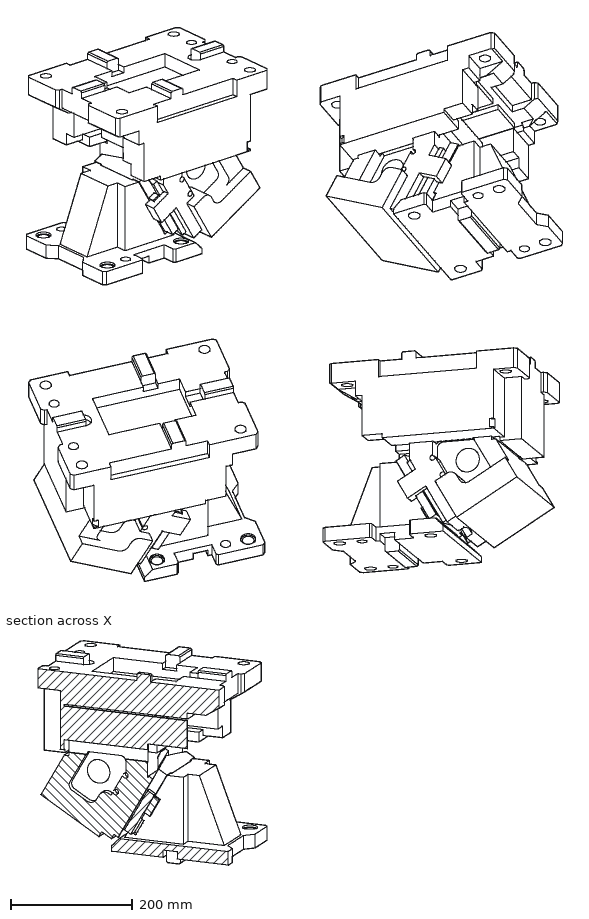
import cadquery as cq
import math


UNIT_HEIGHT = 324.0
UNIT_LENGTH = 342.0
TOP = UNIT_HEIGHT / 2
BOTTOM = -UNIT_HEIGHT / 2
REAR = UNIT_LENGTH / 2
FRONT = -UNIT_LENGTH / 2
KEY_PROUD = 12.3
KEY_WIDTH = 25.3
KEY_CHAMFER = 2.5
CORNER_CHAMFER = 4.8

GUIDE_TILT = math.radians(30)

UNIT_WIDTH = 235.0
PLATE_HALF_WIDTH = UNIT_WIDTH / 2
PLATE_THICKNESS = 34.0
PLATE_TOP = TOP - KEY_PROUD
PLATE_BOTTOM = PLATE_TOP - PLATE_THICKNESS
PLATE_FRONT = -154.5
REAR_NOTCH_Y = 161.5
REAR_NOTCH_HALF_WIDTH = 42.5
FRONT_NOTCH_Y = -144.3
FRONT_NOTCH_HALF_WIDTH = 37.5
NOTCH_CHAMFER = 4.8
POCKET_HALF_WIDTH = 44.5
POCKET_FRONT = -68.7
POCKET_REAR = 82.0
POCKET_DEPTH = 24.0
SIDE_RECESS_X = 107.7
SIDE_RECESS_FRONT = -68.7
SIDE_RECESS_REAR = 101.5
SIDE_RECESS_DEPTH = 29.5
KEY_LENGTH = 50.0
KEYWAY_DEPTH = 10.3
SIDE_KEY_Y = -18.8
BOLT_HOLE_RADIUS = 9.2
BOLT_HOLE_X = 98.0
BOLT_HOLE_FRONT_Y = -129.0
BOLT_HOLE_REAR_Y = 146.0
DOWEL_HOLE_RADIUS = 8.2
DOWEL_HOLE_X = 52.3

LEG_BOTTOM = 15.0
LEG_REAR = 131.3
LEG_TOE_BOTTOM = 22.0
LEG_TOE_BACK = -62.2
LEG_TOE_FRONT = -97.5
LEG_BROW_BOTTOM = 90.5
LEG_BROW_FRONT = -108.8
LEG_CHAMFER = 7.5
LEG_CHAMFER_BOTTOM = 17.8
LEG_CHAMFER_TOP = 32.0
CHANNEL_REAR = 123.8
CHANNEL_HALF_WIDTH = 63.3
CHANNEL_MOUTH_HALF_WIDTH = 65.3
CHANNEL_CEILING = 103.0
CEILING_HALF_WIDTH = 77.5
TOE_NOTCH_HALF_WIDTH = 83.0
TOE_NOTCH_TOP = 42.0
WEAR_PAD_INNER = 9.2
WEAR_PAD_OUTER = 67.5
WEAR_PAD_BOTTOM = 93.0
REAR_BLOCK_HALF_WIDTH = 60.5
REAR_BLOCK_BOTTOM = 9.2
WEDGE_TIP_Y = -151.0
WEDGE_TOE_Y = -119.0
WEDGE_BOTTOM = 95.8
ARCH_CHAMFER = 7.0

SLIDE_HALF_WIDTH = 81.7
SLIDE_TOP = 12.0
SLIDE_FRONT = -26.5
SLIDE_BACK_STEP_Y = 116.0
SLIDE_BACK_STEP_Z = 6.5
SLIDE_BACK_U = -110.5
SLIDE_FACE_U = 30.5
SLIDE_BOTTOM_V = -130.5
CHEEK_HALF_WIDTH = 100.2
CHEEK_BOTTOM_V = -141.0
CHEEK_FRONT_U = 10.3
CHEEK_LOW_V = -100.2
CHEEK_HIGH_V = -65.5
CHEEK_STEP_U = -25.5
CHEEK_ROUND = 13.0
SIDE_POCKET_BACK_U = -78.5
SIDE_POCKET_HALF_GAP = 54.7
SIDE_POCKET_FRONT_Y = 13.5
SIDE_POCKET_TOP = 16.8
SIDE_POCKET_ROUND = 10.3
ARM_RELIEF_RADIUS = 4.5
NECK_TOP = 83.0
NECK_PAD_HALF_WIDTH = 53.5
NECK_PAD_TOP = 87.5
NECK_PAD_PROUD = 7.0
NOSE_HALF_WIDTH = 60.5
NOSE_BOTTOM = 27.7
NOSE_TOP = 77.5
NOSE_LENGTH = 14.7
LINER_HALF_WIDTH = 67.5
LINER_FACE_U = 39.0
LINER_BOTTOM_V = -121.5
LINER_TOP_V = 3.5
RELIEF_HALF_WIDTH = 21.5
RELIEF_CREST_HALF_WIDTH = 7.0
RELIEF_SHOULDER_U = 18.8
RELIEF_CREST_U = 14.7
RELIEF_TOP_V = 25.5
ARM_BACK_U = -8.2
ARM_FRONT_U = 66.7
ARM_TOP_V = -21.0
ARM_BOTTOM_V = -56.0
ARM_SLOT_HALF_WIDTH = 70.5
ARM_LIP_X = 60.5
PIN_HOLE_RADIUS = 20.2
PIN_HOLE_Y = 66.0
PIN_HOLE_Z = -17.8

BASE_HALF_WIDTH = 103.0
BASE_REAR = 39.0
BASE_THICKNESS = 24.0
BASE_BOTTOM = BOTTOM + KEY_PROUD
BASE_TOP = BASE_BOTTOM + BASE_THICKNESS
BASE_REAR_CHAMFER = 14.0
BASE_NOTCH_DEPTH = 14.5
BASE_NOTCH_HALF_WIDTH = 32.5
SIDE_NOTCH_X = 77.0
SIDE_NOTCH_REAR = -20.5
SIDE_NOTCH_FRONT = -86.0
SIDE_NOTCH_CHAMFER = 3.0
BASE_KEY_FRONT = -79.0
BASE_KEY_TOP = -137.0
BASE_KEY_HALF_LENGTH = 50.5
SCREW_X = 82.5
SCREW_FRONT_Y = -147.0
SCREW_REAR_Y = 11.0
SCREW_HOLE_RADIUS = 9.5
COUNTERBORE_RADIUS = 12.3
COUNTERBORE_DEPTH = 3.5
PEG_HOLE_Y = -108.0
PEG_HOLE_RADIUS = 8.2
POST_HALF_WIDTH = 54.7
POST_TOP = -10.5
POST_FRONT = -86.2
POST_BACK_U = 46.0
RIB_HALF_WIDTH = 35.0
RIB_TOP_FRONT = -106.5
RIB_FOOT_FRONT = -151.0
GUIDE_HALF_WIDTH = 57.5
GUIDE_RIDGE_U = 24.5
GUIDE_EDGE_U = 37.5
GUIDE_FRONT_U = 54.7
GUIDE_TOP_V = 21.0
GUIDE_BOTTOM_V = -103.3
GUIDE_ROOT_HALF_WIDTH = 41.0
GUIDE_ROOT_U = 56.8
WING_BACK_U = 41.0
WING_HALF_WIDTH = 69.5
WING_TOP_V = -19.0
UNDERCUT_X = 48.0
UNDERCUT_TOP_V = -73.2
UNDERCUT_FRONT_U = 60.0


def inclined(u, v):
    """Y and Z of a point given in the inclined frame."""
    return (
        -u * math.cos(GUIDE_TILT) - v * math.sin(GUIDE_TILT),
        -u * math.sin(GUIDE_TILT) + v * math.cos(GUIDE_TILT),
    )


def u_line_y(u, z):
    """Y at height z on the plane of constant u."""
    return (-u - z * math.sin(GUIDE_TILT)) / math.cos(GUIDE_TILT)


def u_line_z(u, y):
    """Z at the given Y on the plane of constant u."""
    return (-u - y * math.cos(GUIDE_TILT)) / math.sin(GUIDE_TILT)


def box(x0, x1, y0, y1, z0, z1):
    return cq.Workplane("XY").box(x1 - x0, y1 - y0, z1 - z0, centered=False).translate((x0, y0, z0))


def middle_slab(half_width):
    """Everything in the unit's envelope that lies within half_width of X = 0."""
    return box(-half_width, half_width, FRONT, REAR, BOTTOM, TOP)


def prism(points, half_width):
    """Side outline in Y and Z, extruded equally to both sides of X = 0."""
    return cq.Workplane("YZ").polyline(points).close().extrude(half_width, both=True)


def plan_prism(points, z0, z1):
    """Plan outline in X and Y, extruded from z0 to z1."""
    return cq.Workplane("XY").polyline(points).close().extrude(z1 - z0).translate((0, 0, z0))


def inclined_box(half_width, u0, u1, v0, v1):
    return prism([inclined(u0, v0), inclined(u1, v0), inclined(u1, v1), inclined(u0, v1)], half_width)


def round_off(solid, corner, radius):
    """Fillet the edge along X that passes through the given Y and Z."""
    y, z = corner
    return solid.edges(cq.selectors.NearestToPointSelector((0, y, z))).fillet(radius)


def side_pair(right_half):
    """The given solid on the +X side together with its mirror image."""
    return right_half.union(right_half.mirror("YZ"))


def hole(x, y, radius, z0, z1):
    return cq.Workplane("XY").center(x, y).circle(radius).extrude(z1 - z0).translate((0, 0, z0))


def guide_prism(profile, v0, v1):
    """Extrude an outline of (x, u) points along the guide."""
    plane = cq.Plane(
        origin=(0, *inclined(0, v0)),
        xDir=(1, 0, 0),
        normal=(0, -math.sin(GUIDE_TILT), math.cos(GUIDE_TILT)),
    )
    outline = [(x, -u) for x, u in profile]
    return cq.Workplane(plane).polyline(outline).close().extrude(v1 - v0)


def v_prism(half_width, far_u, v0, v1):
    """Prism along the guide between its two V faces and the plane u = far_u."""
    slope = (GUIDE_EDGE_U - GUIDE_RIDGE_U) / GUIDE_HALF_WIDTH
    edge_u = GUIDE_RIDGE_U + slope * half_width
    profile = [
        (-half_width, far_u),
        (half_width, far_u),
        (half_width, edge_u),
        (0, GUIDE_RIDGE_U),
        (-half_width, edge_u),
    ]
    return guide_prism(profile, v0, v1)


def end_notch(half_width, edge_y, floor_y, chamfer):
    """Cutter for a notch in an end of the holder plate, chamfered at both corners of its mouth."""
    inward = math.copysign(chamfer, floor_y - edge_y)
    outline = [
        (-half_width - chamfer, edge_y),
        (-half_width, edge_y + inward),
        (-half_width, floor_y),
        (half_width, floor_y),
        (half_width, edge_y + inward),
        (half_width + chamfer, edge_y),
    ]
    return plan_prism(outline, PLATE_BOTTOM, PLATE_TOP)


def make_plate():
    plate = box(-PLATE_HALF_WIDTH, PLATE_HALF_WIDTH, PLATE_FRONT, REAR, PLATE_BOTTOM, PLATE_TOP)
    plate = plate.edges("|Z").chamfer(CORNER_CHAMFER)
    recess = box(
        SIDE_RECESS_X, PLATE_HALF_WIDTH, SIDE_RECESS_FRONT, SIDE_RECESS_REAR,
        PLATE_TOP - SIDE_RECESS_DEPTH, PLATE_TOP,
    )
    bevel_rise = (PLATE_BOTTOM - WEDGE_BOTTOM) / (WEDGE_TOE_Y - WEDGE_TIP_Y) * (WEDGE_TIP_Y - PLATE_FRONT)
    bevel = prism(
        [(WEDGE_TIP_Y, PLATE_BOTTOM), (PLATE_FRONT, PLATE_BOTTOM), (PLATE_FRONT, PLATE_BOTTOM + bevel_rise)],
        PLATE_HALF_WIDTH,
    )
    return plate.cut(side_pair(recess)).cut(bevel)


def end_key(y0, y1):
    key = box(-KEY_WIDTH / 2, KEY_WIDTH / 2, y0, y1, PLATE_TOP - KEYWAY_DEPTH, TOP)
    return key.faces(">Z").edges("|Y").chamfer(KEY_CHAMFER)


def make_keys():
    side_key = box(
        SIDE_RECESS_X - KEY_LENGTH, SIDE_RECESS_X, SIDE_KEY_Y - KEY_WIDTH / 2, SIDE_KEY_Y + KEY_WIDTH / 2,
        PLATE_TOP - KEYWAY_DEPTH, TOP,
    )
    side_key = side_key.faces(">Z").edges("|X").chamfer(KEY_CHAMFER)
    keys = side_pair(side_key)
    keys = keys.union(end_key(REAR_NOTCH_Y - KEY_LENGTH, REAR_NOTCH_Y))
    return keys.union(end_key(FRONT_NOTCH_Y, FRONT_NOTCH_Y + KEY_LENGTH))


def make_keyways():
    floor = PLATE_TOP - KEYWAY_DEPTH
    half = KEY_WIDTH / 2
    across = box(-SIDE_RECESS_X, SIDE_RECESS_X, SIDE_KEY_Y - half, SIDE_KEY_Y + half, floor, PLATE_TOP)
    front = box(-half, half, FRONT_NOTCH_Y, POCKET_FRONT, floor, PLATE_TOP)
    rear_start = REAR_NOTCH_Y - KEY_LENGTH
    rear = box(-half, half, rear_start, REAR_NOTCH_Y, floor, PLATE_TOP)
    rear = rear.union(hole(0, rear_start, half, floor, PLATE_TOP))
    return across.union(front).union(rear)


def make_legs():
    legs = prism(
        [
            (LEG_REAR, PLATE_BOTTOM),
            (LEG_REAR, LEG_BOTTOM),
            (LEG_TOE_BACK, LEG_BOTTOM),
            (LEG_TOE_BACK, LEG_TOE_BOTTOM),
            (LEG_TOE_FRONT, LEG_TOE_BOTTOM),
            (LEG_TOE_FRONT, LEG_BROW_BOTTOM),
            (LEG_BROW_FRONT, LEG_BROW_BOTTOM),
            (LEG_BROW_FRONT, PLATE_BOTTOM),
        ],
        PLATE_HALF_WIDTH,
    )
    rear_corner = plan_prism(
        [
            (PLATE_HALF_WIDTH, LEG_REAR),
            (PLATE_HALF_WIDTH - LEG_CHAMFER, LEG_REAR),
            (PLATE_HALF_WIDTH, LEG_REAR - LEG_CHAMFER),
        ],
        LEG_CHAMFER_BOTTOM,
        LEG_CHAMFER_TOP,
    )
    return legs.cut(side_pair(rear_corner))


def make_channel():
    """Cutter for the stepped channel between the legs and the notches in the legs' toes."""
    spans = [
        (CHANNEL_MOUTH_HALF_WIDTH, LEG_BOTTOM, LEG_CHAMFER_TOP),
        (CHANNEL_HALF_WIDTH, LEG_CHAMFER_TOP, LEG_BROW_BOTTOM),
        (CEILING_HALF_WIDTH, LEG_BROW_BOTTOM, CHANNEL_CEILING),
    ]
    notches = [
        (LEG_TOE_BACK, LEG_TOE_BOTTOM, LEG_CHAMFER_TOP),
        (SLIDE_FRONT, LEG_CHAMFER_TOP, TOE_NOTCH_TOP),
    ]
    notch_half = TOE_NOTCH_HALF_WIDTH
    steps = [box(-half, half, LEG_BROW_FRONT, CHANNEL_REAR, low, high) for half, low, high in spans]
    steps += [box(-notch_half, notch_half, LEG_TOE_FRONT, back, low, high) for back, low, high in notches]
    channel = steps[0]
    for step in steps[1:]:
        channel = channel.union(step)
    pads = side_pair(
        box(WEAR_PAD_INNER, WEAR_PAD_OUTER, LEG_TOE_FRONT, CHANNEL_REAR, WEAR_PAD_BOTTOM, CHANNEL_CEILING)
    )
    return channel.cut(pads)


def make_wedges():
    """Two gussets under the front of the plate, either side of the front notch."""
    wedges = prism(
        [
            (LEG_BROW_FRONT, PLATE_BOTTOM),
            (LEG_BROW_FRONT, WEDGE_BOTTOM),
            (WEDGE_TOE_Y, WEDGE_BOTTOM),
            (WEDGE_TIP_Y, PLATE_BOTTOM),
        ],
        CEILING_HALF_WIDTH,
    )
    arch = box(
        -CEILING_HALF_WIDTH, CEILING_HALF_WIDTH, WEDGE_TIP_Y, LEG_BROW_FRONT, WEDGE_BOTTOM, CHANNEL_CEILING
    )
    arch = arch.faces(">Z").edges("|Y").chamfer(ARCH_CHAMFER)
    gap = box(
        -FRONT_NOTCH_HALF_WIDTH, FRONT_NOTCH_HALF_WIDTH, WEDGE_TIP_Y, LEG_BROW_FRONT, WEDGE_BOTTOM, PLATE_BOTTOM
    )
    return wedges.cut(arch).cut(gap)


def make_holder():
    holder = make_plate().union(make_legs()).cut(make_channel()).union(make_wedges())
    rear_block = box(
        -REAR_BLOCK_HALF_WIDTH, REAR_BLOCK_HALF_WIDTH, CHANNEL_REAR, REAR_NOTCH_Y,
        REAR_BLOCK_BOTTOM, PLATE_BOTTOM,
    )
    holder = holder.union(rear_block)
    holder = holder.cut(end_notch(REAR_NOTCH_HALF_WIDTH, REAR, REAR_NOTCH_Y, NOTCH_CHAMFER))
    holder = holder.cut(end_notch(FRONT_NOTCH_HALF_WIDTH, PLATE_FRONT, FRONT_NOTCH_Y, NOTCH_CHAMFER))
    holder = holder.cut(make_keyways()).union(make_keys())
    pocket = box(
        -POCKET_HALF_WIDTH, POCKET_HALF_WIDTH, POCKET_FRONT, POCKET_REAR,
        PLATE_TOP - POCKET_DEPTH, PLATE_TOP,
    )
    holder = holder.cut(pocket)
    for side in (-1, 1):
        for y in (BOLT_HOLE_FRONT_Y, BOLT_HOLE_REAR_Y):
            holder = holder.cut(hole(side * BOLT_HOLE_X, y, BOLT_HOLE_RADIUS, PLATE_BOTTOM, PLATE_TOP))
        holder = holder.cut(
            hole(side * DOWEL_HOLE_X, BOLT_HOLE_REAR_Y, DOWEL_HOLE_RADIUS, PLATE_BOTTOM, PLATE_TOP)
        )
    return holder


def make_slide_core():
    return prism(
        [
            (SLIDE_FRONT, SLIDE_TOP),
            (SLIDE_BACK_STEP_Y, SLIDE_TOP),
            (SLIDE_BACK_STEP_Y, SLIDE_BACK_STEP_Z),
            (u_line_y(SLIDE_BACK_U, SLIDE_BACK_STEP_Z), SLIDE_BACK_STEP_Z),
            inclined(SLIDE_BACK_U, SLIDE_BOTTOM_V),
            inclined(SLIDE_FACE_U, SLIDE_BOTTOM_V),
            (SLIDE_FRONT, u_line_z(SLIDE_FACE_U, SLIDE_FRONT)),
        ],
        SLIDE_HALF_WIDTH,
    )


def make_cheeks():
    """Wide lower part of the slide, before its top is lowered behind the step."""
    return inclined_box(CHEEK_HALF_WIDTH, SLIDE_BACK_U, CHEEK_FRONT_U, CHEEK_BOTTOM_V, CHEEK_HIGH_V)


def make_cheek_shelves():
    """Cutter that lowers the cheeks beside the back wall of the slide."""
    shelves = inclined_box(
        CHEEK_HALF_WIDTH, SLIDE_BACK_U, SIDE_POCKET_BACK_U + SIDE_POCKET_ROUND, CHEEK_LOW_V, CHEEK_HIGH_V
    )
    return shelves.cut(middle_slab(SLIDE_HALF_WIDTH))


def make_side_pockets():
    """Recesses in the slide's sides, in front of the back wall and down to the stepped cheeks."""
    pocket = prism(
        [
            (SIDE_POCKET_FRONT_Y, SIDE_POCKET_TOP),
            (u_line_y(SIDE_POCKET_BACK_U, SIDE_POCKET_TOP), SIDE_POCKET_TOP),
            inclined(SIDE_POCKET_BACK_U, CHEEK_LOW_V),
            inclined(CHEEK_STEP_U, CHEEK_LOW_V),
            inclined(CHEEK_STEP_U, CHEEK_HIGH_V),
            inclined(ARM_BACK_U, CHEEK_HIGH_V),
            inclined(ARM_BACK_U, ARM_TOP_V),
            (SIDE_POCKET_FRONT_Y, inclined(ARM_BACK_U, ARM_TOP_V)[1]),
        ],
        CHEEK_HALF_WIDTH,
    )
    rounds = [
        ((SIDE_POCKET_FRONT_Y, SIDE_POCKET_TOP), SIDE_POCKET_ROUND),
        (inclined(SIDE_POCKET_BACK_U, CHEEK_LOW_V), SIDE_POCKET_ROUND),
        (inclined(CHEEK_STEP_U, CHEEK_LOW_V), CHEEK_ROUND),
        (inclined(CHEEK_STEP_U, CHEEK_HIGH_V), CHEEK_ROUND),
    ]
    for corner, radius in rounds:
        pocket = round_off(pocket, corner, radius)
    return pocket.cut(middle_slab(SIDE_POCKET_HALF_GAP))


def make_arm_relief(v):
    """Round reliefs beside the pockets, at one pair of back corners of the arms."""
    y, z = inclined(ARM_BACK_U + ARM_RELIEF_RADIUS, v)
    relief = cq.Workplane("YZ").center(y, z).circle(ARM_RELIEF_RADIUS)
    relief = relief.extrude(SLIDE_HALF_WIDTH - SIDE_POCKET_HALF_GAP)
    return side_pair(relief.translate((SIDE_POCKET_HALF_GAP, 0, 0)))


def make_arms():
    """Hooked arms that reach around the guide's wings."""
    arms = inclined_box(SLIDE_HALF_WIDTH, ARM_BACK_U, ARM_FRONT_U, ARM_BOTTOM_V, ARM_TOP_V)
    arms = arms.cut(inclined_box(ARM_SLOT_HALF_WIDTH, SLIDE_FACE_U, GUIDE_FRONT_U, ARM_BOTTOM_V, ARM_TOP_V))
    return arms.cut(inclined_box(ARM_LIP_X, GUIDE_FRONT_U, ARM_FRONT_U, ARM_BOTTOM_V, ARM_TOP_V))


def make_groove_relief():
    """Clearance in the slide over the ridge of the guide."""
    profile = [
        (-RELIEF_HALF_WIDTH, GUIDE_EDGE_U),
        (RELIEF_HALF_WIDTH, GUIDE_EDGE_U),
        (RELIEF_HALF_WIDTH, RELIEF_SHOULDER_U),
        (RELIEF_CREST_HALF_WIDTH, RELIEF_CREST_U),
        (-RELIEF_CREST_HALF_WIDTH, RELIEF_CREST_U),
        (-RELIEF_HALF_WIDTH, RELIEF_SHOULDER_U),
    ]
    return guide_prism(profile, SLIDE_BOTTOM_V, RELIEF_TOP_V)


def make_slide():
    neck = box(-CHANNEL_HALF_WIDTH, CHANNEL_HALF_WIDTH, SLIDE_FRONT, SLIDE_BACK_STEP_Y, SLIDE_TOP, NECK_TOP)
    slide = make_slide_core().union(neck)
    slide = slide.union(make_cheeks()).cut(make_side_pockets()).cut(make_cheek_shelves())
    neck_pad = box(
        -NECK_PAD_HALF_WIDTH, NECK_PAD_HALF_WIDTH, SLIDE_FRONT - NECK_PAD_PROUD, SLIDE_BACK_STEP_Y,
        NOSE_TOP, NECK_PAD_TOP,
    )
    nose = box(-NOSE_HALF_WIDTH, NOSE_HALF_WIDTH, SLIDE_FRONT - NOSE_LENGTH, SLIDE_FRONT, NOSE_BOTTOM, NOSE_TOP)
    slide = slide.union(neck_pad).union(nose)
    liner = inclined_box(LINER_HALF_WIDTH, SLIDE_FACE_U, LINER_FACE_U, LINER_BOTTOM_V, LINER_TOP_V)
    slide = slide.union(liner).union(make_arms())
    for v in (ARM_BOTTOM_V, ARM_TOP_V):
        slide = slide.cut(make_arm_relief(v))
    groove = v_prism(LINER_HALF_WIDTH, GUIDE_FRONT_U, SLIDE_BOTTOM_V, RELIEF_TOP_V)
    groove_depth = inclined_box(LINER_HALF_WIDTH, GUIDE_RIDGE_U, LINER_FACE_U, SLIDE_BOTTOM_V, RELIEF_TOP_V)
    slide = slide.cut(groove.intersect(groove_depth)).cut(make_groove_relief())
    pin_hole = (
        cq.Workplane("YZ")
        .center(PIN_HOLE_Y, PIN_HOLE_Z)
        .circle(PIN_HOLE_RADIUS)
        .extrude(SLIDE_HALF_WIDTH, both=True)
    )
    return slide.cut(pin_hole)


def make_base_plate():
    plate = box(-BASE_HALF_WIDTH, BASE_HALF_WIDTH, FRONT, BASE_REAR, BASE_BOTTOM, BASE_TOP)
    plate = plate.faces("<Y").edges("|Z").chamfer(CORNER_CHAMFER)
    plate = plate.faces(">Y").edges(">Z").chamfer(BASE_REAR_CHAMFER)
    front_notch = plan_prism(
        [
            (-BASE_NOTCH_HALF_WIDTH - BASE_NOTCH_DEPTH, FRONT),
            (-BASE_NOTCH_HALF_WIDTH, FRONT + BASE_NOTCH_DEPTH),
            (BASE_NOTCH_HALF_WIDTH, FRONT + BASE_NOTCH_DEPTH),
            (BASE_NOTCH_HALF_WIDTH + BASE_NOTCH_DEPTH, FRONT),
        ],
        BASE_BOTTOM,
        BASE_TOP,
    )
    side_notch = plan_prism(
        [
            (SIDE_NOTCH_X, SIDE_NOTCH_FRONT),
            (BASE_HALF_WIDTH - SIDE_NOTCH_CHAMFER, SIDE_NOTCH_FRONT),
            (BASE_HALF_WIDTH, SIDE_NOTCH_FRONT - SIDE_NOTCH_CHAMFER),
            (BASE_HALF_WIDTH, SIDE_NOTCH_REAR + SIDE_NOTCH_CHAMFER),
            (BASE_HALF_WIDTH - SIDE_NOTCH_CHAMFER, SIDE_NOTCH_REAR),
            (SIDE_NOTCH_X, SIDE_NOTCH_REAR),
        ],
        BASE_BOTTOM,
        BASE_TOP,
    )
    plate = plate.cut(front_notch).cut(side_pair(side_notch))
    for side in (-1, 1):
        x = side * SCREW_X
        for y in (SCREW_FRONT_Y, SCREW_REAR_Y):
            plate = plate.cut(hole(x, y, SCREW_HOLE_RADIUS, BASE_BOTTOM, BASE_TOP))
            plate = plate.cut(hole(x, y, COUNTERBORE_RADIUS, BASE_TOP - COUNTERBORE_DEPTH, BASE_TOP))
        plate = plate.cut(hole(x, PEG_HOLE_Y, PEG_HOLE_RADIUS, BASE_BOTTOM, BASE_TOP))
    return plate


def add_base_key(plate):
    """Cut the keyway across the underside and fill its middle with the key."""
    key_rear = BASE_KEY_FRONT + KEY_WIDTH
    keyway = box(-SIDE_NOTCH_X, SIDE_NOTCH_X, BASE_KEY_FRONT, key_rear, BASE_BOTTOM, BASE_KEY_TOP)
    key = box(-BASE_KEY_HALF_LENGTH, BASE_KEY_HALF_LENGTH, BASE_KEY_FRONT, key_rear, BOTTOM, BASE_KEY_TOP)
    return plate.cut(keyway).union(key.faces("<Z").edges("|X").chamfer(KEY_CHAMFER))


def make_post():
    post = prism(
        [
            (POST_FRONT, BASE_TOP),
            (POST_FRONT, POST_TOP),
            (u_line_y(GUIDE_FRONT_U, POST_TOP), POST_TOP),
            inclined(GUIDE_FRONT_U, GUIDE_BOTTOM_V),
            inclined(POST_BACK_U, GUIDE_BOTTOM_V),
            (u_line_y(POST_BACK_U, BASE_TOP), BASE_TOP),
        ],
        POST_HALF_WIDTH,
    )
    undercut = inclined_box(POST_HALF_WIDTH, GUIDE_FRONT_U, UNDERCUT_FRONT_U, GUIDE_BOTTOM_V, UNDERCUT_TOP_V)
    return post.cut(undercut.cut(middle_slab(UNDERCUT_X)))


def make_rib():
    return prism(
        [
            (POST_FRONT, BASE_TOP),
            (POST_FRONT, POST_TOP),
            (RIB_TOP_FRONT, POST_TOP),
            (RIB_FOOT_FRONT, BASE_TOP),
        ],
        RIB_HALF_WIDTH,
    )


def make_guide():
    """V guide with its wings and the thicker root that joins it to the post."""
    guide = v_prism(GUIDE_HALF_WIDTH, GUIDE_FRONT_U, GUIDE_BOTTOM_V, GUIDE_TOP_V)
    root = inclined_box(GUIDE_ROOT_HALF_WIDTH, GUIDE_FRONT_U, GUIDE_ROOT_U, GUIDE_BOTTOM_V, GUIDE_TOP_V)
    wings = inclined_box(WING_HALF_WIDTH, WING_BACK_U, GUIDE_FRONT_U, GUIDE_BOTTOM_V, WING_TOP_V)
    return guide.union(root).union(wings)


def make_base():
    base = add_base_key(make_base_plate())
    return base.union(make_post()).union(make_rib()).union(make_guide())


holder = make_holder()
slide = make_slide()
base = make_base()
result = cq.Compound.makeCompound([holder.val(), slide.val(), base.val()])